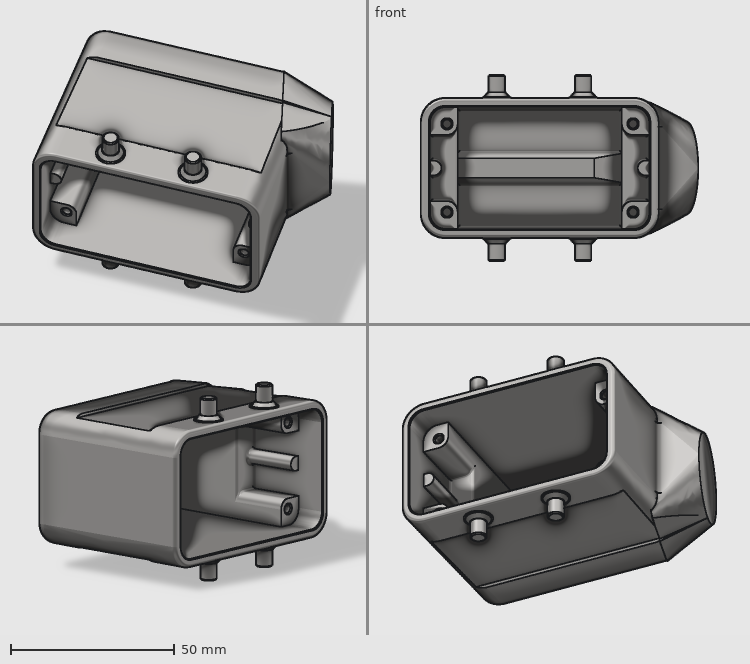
import cadquery as cq
import math


overall_x = 85.1
overall_y = 61.2
overall_z = 57.0

body_x = 72.9
body_y = 57.2
body_z = 43.1
corner_radius = 7.6
body_draft = 0.7
back_fillet = 3.9
rim_fillet = 1.2

wall = 2.8
mouth_lead_in = 0.3
mouth_lead_in_angle = 45.0
cavity_draft = 0.5
floor_y = 54.5
floor_fillet = 0.85
shelf_y = 27.2
shelf_edge_fillet = 0.85
shelf_foot_fillet = 0.85
pocket_x_min = 11.3
pocket_x_max = 61.7

boss_y = 9.5
boss_inner_z = 10.2
boss_corner_radius = 3.1
screw_x_positions = (8.1, 65.1)
screw_z = 13.5
screw_diameter = 2.7
screw_depth = 12.8
screw_chamfer = 0.4
key_y = 9.7
key_radius = 2.2
key_reach = 3.6

rib_half_base = 4.9
rib_half_top = 3.0
rib_height = 4.25
rib_ramp_start_x = 53.2
rib_ramp_height = 1.0

pin_x_positions = (23.3, 49.8)
pin_y = 6.3
pin_radius = 2.55
pin_flare_radius = 4.5
pin_flare_height = 0.25
pin_cone_radius = 4.0
pin_cone_top_radius = 2.7
pin_foot_height = 1.6
pin_chamfer = 0.4

panel_z = 20.2
panel_y_min = 13.45
panel_y_max = 43.0
panel_wall_slope = 0.6

gland_tilt = math.radians(15.5)
gland_diameter = 28.5
gland_base_half_z = 21.0
gland_back_corner = back_fillet
gland_front_corner = 4.8
gland_foot_fillet = 1.7
gland_foot_half_z = 12.7

half_z = body_z / 2
gland_radius = gland_diameter / 2
tolerance = 0.01

gland_length = (overall_y - body_y) / math.sin(gland_tilt)
gland_x = overall_x - gland_radius * math.sin(gland_tilt)
gland_y = overall_y - gland_radius * math.cos(gland_tilt)
gland_plane = cq.Plane(
    origin=(gland_x, gland_y, 0),
    xDir=(-math.sin(gland_tilt), math.cos(gland_tilt), 0),
    normal=(math.cos(gland_tilt), math.sin(gland_tilt), 0),
)


def mouth_plane(y):
    """Workplane facing +Y at depth y, with its local x along X."""
    return cq.Workplane(cq.Plane(origin=(0, y, 0), xDir=(1, 0, 0), normal=(0, 1, 0)))


def box(x_min, x_max, y_min, y_max, z_min, z_max):
    size = (x_max - x_min, y_max - y_min, z_max - z_min)
    return cq.Workplane("XY").box(*size, centered=False).translate((x_min, y_min, z_min))


def tapered_block(inset, depth, draft):
    """Rounded rectangle, inset from the mouth outline, narrowing towards +Y."""
    return (
        mouth_plane(0)
        .center(body_x / 2, 0)
        .sketch()
        .rect(body_x - 2 * inset, body_z - 2 * inset)
        .vertices()
        .fillet(corner_radius - inset)
        .finalize()
        .extrude(depth, taper=draft)
    )


def make_body():
    """Tapered outer block with rounded rim and back, open where the gland joins it."""
    body = tapered_block(0, body_y, body_draft)
    body = body.faces(">Y").edges().fillet(back_fillet)
    body = body.faces("<Y").edges().fillet(rim_fillet)
    corner = (
        cq.Workplane(gland_plane)
        .workplane(offset=-gland_length)
        .center(body_x / 2 - gland_radius, 0)
        .rect(body_x, 2 * body_z)
        .extrude(body_x)
    )
    return body.cut(corner)


def make_gland():
    """Loft along local Z from a rounded rectangle to a circle, as flats and cone patches."""

    def arc(center_x, center_y, radius, z, start):
        points = []
        for angle in (start, start + 45, start + 90):
            a = math.radians(angle)
            points.append(cq.Vector(center_x + radius * math.cos(a), center_y + radius * math.sin(a), z))
        return cq.Edge.makeThreePointArc(*points)

    base_z = -gland_length
    base_arcs = []
    end_arcs = []
    for start, sx, sy in ((0, 1, 1), (90, -1, 1), (180, -1, -1), (270, 1, -1)):
        radius = gland_back_corner if sx > 0 else gland_front_corner
        center_x = sx * (gland_radius - radius)
        center_y = sy * (gland_base_half_z - radius)
        base_arcs.append(arc(center_x, center_y, radius, base_z, start))
        end_arcs.append(arc(0, 0, gland_radius, 0, start))

    faces = []
    base_edges = []
    for i in range(4):
        left = base_arcs[i].endPoint()
        right = base_arcs[(i + 1) % 4].startPoint()
        tip = end_arcs[i].endPoint()
        faces.append(cq.Face.makeRuledSurface(base_arcs[i], end_arcs[i]))
        faces.append(cq.Face.makeFromWires(cq.Wire.makePolygon([left, right, tip], close=True)))
        base_edges += [base_arcs[i], cq.Edge.makeLine(left, right)]
    faces.append(cq.Face.makeFromWires(cq.Wire.assembleEdges(base_edges)))
    faces.append(cq.Face.makeFromWires(cq.Wire.assembleEdges(end_arcs)))
    solid = cq.Solid.makeSolid(cq.Shell.makeShell(faces).fix()).fix()
    gland = cq.Workplane(obj=solid)

    step = (
        cq.Workplane("YZ")
        .polyline([
            (panel_z, base_z),
            (gland_radius, 0),
            (overall_z, 0),
            (overall_z, base_z),
        ])
        .close()
        .extrude(-2 * gland_radius)
    )
    gland = gland.cut(step).cut(step.mirror("XZ"))
    return cq.Workplane(obj=gland.val().moved(cq.Location(gland_plane)))


def make_gland_foot():
    """Concave blend between the end wall and the mouth side of the gland."""
    draft = math.radians(body_draft)
    slope = math.tan(draft)
    along_wall = cq.Vector(math.sin(draft), -math.cos(draft), 0)
    along_gland = gland_plane.zDir
    edge = gland_plane.toWorldCoords((-gland_radius, 0, 0))
    distance = (edge.x + slope * edge.y - body_x) / (along_gland.x + slope * along_gland.y)
    corner = edge - along_gland * distance

    half_angle = along_wall.getAngle(along_gland) / 2
    tangent = gland_foot_fillet / math.tan(half_angle)
    bisector = (along_wall + along_gland).normalized()
    middle = corner + bisector * (gland_foot_fillet / math.sin(half_angle) - gland_foot_fillet)
    root = corner - bisector * gland_foot_fillet
    points = [root, corner + along_wall * tangent, middle, corner + along_gland * tangent]
    root_xy, wall_xy, middle_xy, gland_xy = [(p.x, p.y) for p in points]
    return (
        cq.Workplane("XY")
        .moveTo(*root_xy)
        .lineTo(*wall_xy)
        .threePointArc(middle_xy, gland_xy)
        .close()
        .extrude(gland_foot_half_z, both=True)
    )


def make_panel_recesses():
    rise = overall_z / 2 - panel_z
    run = rise * panel_wall_slope
    upper = (
        cq.Workplane("YZ")
        .polyline([
            (panel_y_min, panel_z),
            (panel_y_max, panel_z),
            (panel_y_max + run, panel_z + rise),
            (panel_y_min - run, panel_z + rise),
        ])
        .close()
        .extrude(overall_x)
    )
    return upper.union(upper.mirror("XY"))


def make_pin(x):
    """Pin on the +Z side with a flared foot and a chamfered tip."""
    root_z = half_z - wall / 2
    foot_top = half_z + pin_foot_height
    tip_z = overall_z / 2
    return (
        cq.Workplane("XZ")
        .moveTo(0, root_z)
        .lineTo(pin_flare_radius, root_z)
        .lineTo(pin_flare_radius, half_z)
        .lineTo(pin_cone_radius, half_z + pin_flare_height)
        .lineTo(pin_cone_top_radius, foot_top)
        .lineTo(pin_radius, foot_top)
        .lineTo(pin_radius, tip_z - pin_chamfer)
        .lineTo(pin_radius - pin_chamfer, tip_z)
        .lineTo(0, tip_z)
        .close()
        .revolve(360, (0, 0), (0, 1))
        .translate((x, pin_y, 0))
    )


def make_shelves():
    """End blocks that leave the deep pocket between them."""
    left = box(0, pocket_x_min, shelf_y, body_y, -half_z, half_z)
    right = box(pocket_x_max, body_x, shelf_y, body_y, -half_z, half_z)
    left = left.edges(">X and <Y").fillet(shelf_edge_fillet)
    right = right.edges("<X and <Y").fillet(shelf_edge_fillet)
    return left.union(right)


def make_bosses():
    left = box(0, pocket_x_min, boss_y, body_y, boss_inner_z, half_z)
    right = box(pocket_x_max, body_x, boss_y, body_y, boss_inner_z, half_z)
    left = left.edges(">X and <Z").fillet(boss_corner_radius)
    right = right.edges("<X and <Z").fillet(boss_corner_radius)
    upper = left.union(right)
    return upper.union(upper.mirror("XY"))


def make_keys():
    """Half-round keys on the two end walls."""
    keys = cq.Workplane()
    for wall_x, side in ((wall, 1), (body_x - wall, -1)):
        x = wall_x + side * (key_reach - key_radius)
        key = mouth_plane(key_y).center(x, 0).circle(key_radius).extrude(body_y - key_y)
        web_x = sorted((x, x - side * key_reach))
        web = box(*web_x, key_y, body_y, -key_radius, key_radius)
        keys = keys.add(key.union(web))
    return keys.combine()


def make_rib():
    """Trapezoidal floor rib that ramps down towards the gland end."""
    rib_top_y = floor_y - rib_height
    rib = (
        cq.Workplane("YZ")
        .polyline([
            (floor_y, -rib_half_base),
            (rib_top_y, -rib_half_top),
            (rib_top_y, rib_half_top),
            (floor_y, rib_half_base),
        ])
        .close()
        .extrude(body_x)
    )
    ramp = (
        cq.Workplane("XY")
        .polyline([
            (rib_ramp_start_x, rib_top_y),
            (pocket_x_max, floor_y - rib_ramp_height),
            (pocket_x_max, rib_top_y),
        ])
        .close()
        .extrude(half_z, both=True)
    )
    return rib.cut(ramp)


def make_cavity():
    cavity = tapered_block(wall, floor_y, cavity_draft)
    lead_in = tapered_block(wall - mouth_lead_in, mouth_lead_in, mouth_lead_in_angle)
    cavity = cavity.cut(make_shelves()).cut(make_rib())
    cavity = cavity.faces(">Y").edges().fillet(floor_fillet)
    cavity = cavity.cut(make_bosses()).cut(make_keys())
    foot_edges = []
    for edge in cavity.edges().vals():
        bounds = edge.BoundingBox()
        on_shelf = abs(bounds.ymin - shelf_y) + abs(bounds.ymax - shelf_y) < tolerance
        if on_shelf and edge.Length() < boss_inner_z:
            foot_edges.append(edge)
    return cavity.newObject(foot_edges).fillet(shelf_foot_fillet).union(lead_in)


def make_screw_holes():
    holes = cq.Workplane()
    for x in screw_x_positions:
        for z in (-screw_z, screw_z):
            hole = mouth_plane(boss_y).center(x, z).circle(screw_diameter / 2).extrude(screw_depth)
            sink = cq.Solid.makeCone(
                screw_diameter / 2 + screw_chamfer,
                screw_diameter / 2,
                screw_chamfer,
                cq.Vector(x, boss_y, z),
                cq.Vector(0, 1, 0),
            )
            holes = holes.add(hole.union(cq.Workplane(obj=sink)))
    return holes.combine()


hood = make_body().union(make_gland()).union(make_gland_foot())
hood = hood.cut(make_panel_recesses()).cut(make_cavity()).cut(make_screw_holes())
for pin_x in pin_x_positions:
    pin = make_pin(pin_x)
    hood = hood.union(pin).union(pin.mirror("XY"))

result = hood